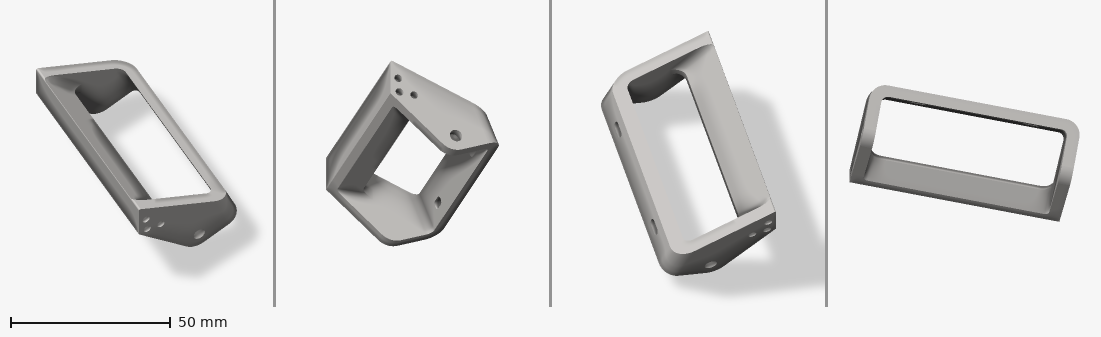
import cadquery as cq
import math


width = 67.0
depth = 36.9
tilt = math.radians(22.0)
underside_angle = math.radians(41.5)
front_top = 23.45
front_bottom = 11.6
tip_radius = 0.5
toe_radius = 6.0
rear_corner_radius = 5.0

side_wall = 3.9
rear_wall = 3.5
rear_inner_radius = 2.15
opening_width = width - 2 * side_wall

bar_top = 23.2
bar_depth = 9.9
bar_bottom = 9.65
bar_upper_radius = 2.15
bar_rear_radius = 4.3
bar_lower_radius = 1.3

pivot_y = 21.5
bottom_distance = 4.95
pivot_diameter = 4.0
side_hole_diameter = 2.55
blind_depth = 3.0
side_holes = [(2.55, 17.3), (2.95, 12.5), (7.8, 12.2)]

slot_length = 5.5
slot_width = 2.7
slot_offset = 18.0
slot_height = 4.95

reach = 2 * width

rear_bottom_z = (depth - pivot_y) * math.tan(tilt) - bottom_distance / math.cos(tilt)
toe_y = (front_bottom - rear_bottom_z + depth * math.tan(tilt)) / (
    math.tan(underside_angle) + math.tan(tilt)
)
toe_z = front_bottom - toe_y * math.tan(underside_angle)
rear_height = (front_top - rear_bottom_z - depth * math.tan(tilt)) / (
    math.cos(tilt) - math.sin(tilt) * math.tan(tilt)
)
rear_top_y = depth - rear_height * math.sin(tilt)
rear_top_z = rear_bottom_z + rear_height * math.cos(tilt)

bottom_plane = cq.Plane(
    origin=(0, depth, rear_bottom_z),
    xDir=(1, 0, 0),
    normal=(0, -math.sin(tilt), math.cos(tilt)),
)
rear_plane = cq.Plane(
    origin=(0, depth, rear_bottom_z),
    xDir=(-1, 0, 0),
    normal=(0, math.cos(tilt), math.sin(tilt)),
)


def side_prism(points, length):
    """Polygon of (Y, Z) points, extruded equally to both sides of X = 0."""
    return cq.Workplane("YZ").polyline(points).close().extrude(length / 2, both=True)


def lying_prism(prism_width, rear_inset, corner_radius):
    """Block parallel to the rear face and set in from it, with both rear corners rounded."""
    block = cq.Workplane(bottom_plane).center(0, -rear_inset - reach / 2).rect(prism_width, reach)
    block = block.extrude(reach / 2, both=True)
    upright = cq.selectors.ParallelDirSelector(bottom_plane.zDir)
    rearmost = cq.selectors.DirectionMinMaxSelector(bottom_plane.yDir, True)
    return block.edges(upright).edges(rearmost).fillet(corner_radius)


def make_body():
    corners = [
        (0, front_top),
        (0, front_bottom),
        (toe_y, toe_z),
        (depth, rear_bottom_z),
        (rear_top_y, rear_top_z),
    ]
    body = side_prism(corners, width)
    body = body.edges(cq.NearestToPointSelector((0, toe_y, toe_z))).fillet(toe_radius)
    body = body.edges(cq.NearestToPointSelector((0, 0, front_top))).fillet(tip_radius)
    envelope = lying_prism(width, 0, rear_corner_radius)
    return body.intersect(envelope)


def make_opening():
    """Space between the walls, running parallel to the rear face."""
    return lying_prism(opening_width, rear_wall, rear_inner_radius)


def make_bar_clearance():
    """Everything around the front bar, with rounded corners where the bar meets the side walls."""
    above = side_prism([(-width, bar_top + width), (width, bar_top - width), (width, width)], opening_width)
    for end in (-1, 1):
        corner = cq.NearestToPointSelector((end * opening_width / 2, 0, bar_top))
        above = above.edges(corner).fillet(bar_upper_radius)
    behind = cq.Workplane("XY").center(0, bar_depth + width / 2).rect(opening_width, width)
    behind = behind.extrude(width, both=True).edges("|Z and <Y").fillet(bar_rear_radius)
    below = cq.Workplane("XZ").center(0, bar_bottom - width / 2).rect(opening_width, width)
    below = below.extrude(width, both=True).edges("|Y and >Z").fillet(bar_lower_radius)
    return above.union(behind).union(below)


def make_end_holes():
    """Pivot and side holes, drilled to the same depth into both ends."""
    holes = cq.Workplane()
    sites = [(pivot_y, 0, pivot_diameter)]
    sites += [(y, z, side_hole_diameter) for y, z in side_holes]
    for y, z, diameter in sites:
        for end in (-1, 1):
            start = cq.Vector(end * width / 2, y, z)
            inward = cq.Vector(-end, 0, 0)
            holes = holes.add(cq.Solid.makeCylinder(diameter / 2, blind_depth, start, inward))
    return holes.combine()


def make_slots():
    slots = cq.Workplane(rear_plane).pushPoints(
        [(-slot_offset, slot_height), (slot_offset, slot_height)]
    )
    return slots.slot2D(slot_length, slot_width).extrude(2 * rear_wall, both=True)


cavity = make_opening().intersect(make_bar_clearance())
result = make_body().cut(cavity).cut(make_slots()).cut(make_end_holes())